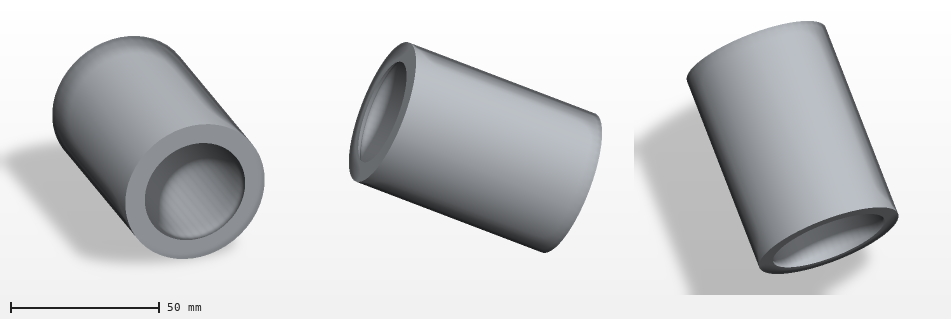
import cadquery as cq

length = 70.0
outer_diameter = 50.0
bore_diameter = 40.0
mouth_diameter = 36.0

half_length = length / 2
outer_radius = outer_diameter / 2
bore_radius = bore_diameter / 2
mouth_radius = mouth_diameter / 2

taper_length = bore_radius - mouth_radius

wall_section = (
    cq.Workplane("XY")
    .moveTo(-half_length, bore_radius)
    .lineTo(half_length - taper_length, bore_radius)
    .lineTo(half_length, mouth_radius)
    .lineTo(half_length, outer_radius)
    .lineTo(-half_length, outer_radius)
    .close()
)

result = wall_section.revolve(360, (0, 0, 0), (1, 0, 0))